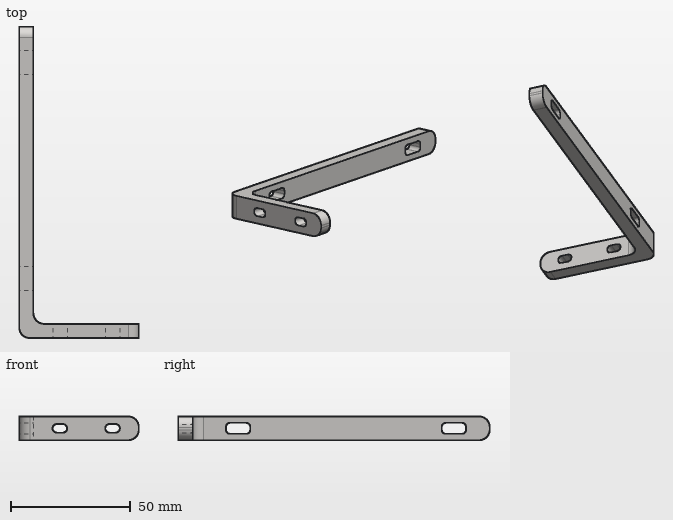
import cadquery as cq

long_arm_length = 130.0
short_arm_length = 50.0
bar_thickness = 6.0
bar_width = 10.0
corner_radius = 4.5

mid_width = bar_width / 2

long_slot_length = 10.0
long_slot_width = 4.5
long_slot_corner_radius = 1.6
long_slot_end_offset = 15.0
long_slot_spacing = 90.0

short_slot_length = 6.0
short_slot_width = 3.5
short_slot_end_offset = 11.0
short_slot_spacing = 22.0


def make_bar():
    """L-shaped bar with a rounded bend and rounded free ends."""
    bar = (
        cq.Workplane("XY")
        .polyline(
            [
                (0, 0),
                (short_arm_length, 0),
                (short_arm_length, bar_thickness),
                (bar_thickness, bar_thickness),
                (bar_thickness, long_arm_length),
                (0, long_arm_length),
            ]
        )
        .close()
        .extrude(bar_width)
    )
    inside_and_outside_bend = (
        cq.selectors.NearestToPointSelector((0, 0, mid_width))
        + cq.selectors.NearestToPointSelector((bar_thickness, bar_thickness, mid_width))
    )
    bar = bar.edges(inside_and_outside_bend).fillet(corner_radius)
    bar = bar.faces(">X").edges("|Y").fillet(corner_radius)
    return bar.faces(">Y").edges("|X").fillet(corner_radius)


def slot_centres(arm_length, end_offset, spacing):
    """Centres of an arm's two slots, as (distance along the arm, height)."""
    outer_centre = arm_length - end_offset
    return [(outer_centre, mid_width), (outer_centre - spacing, mid_width)]


def make_long_arm_slots():
    """Rectangular slots with rounded corners, through the long arm."""
    return (
        cq.Workplane("YZ")
        .pushPoints(slot_centres(long_arm_length, long_slot_end_offset, long_slot_spacing))
        .rect(long_slot_length, long_slot_width)
        .extrude(bar_thickness)
        .edges("|X")
        .fillet(long_slot_corner_radius)
    )


def make_short_arm_slots():
    """Slots with full-round ends, through the short arm."""
    return (
        cq.Workplane("XZ")
        .pushPoints(slot_centres(short_arm_length, short_slot_end_offset, short_slot_spacing))
        .slot2D(short_slot_length, short_slot_width)
        .extrude(-bar_thickness)
    )


result = make_bar().cut(make_long_arm_slots()).cut(make_short_arm_slots())